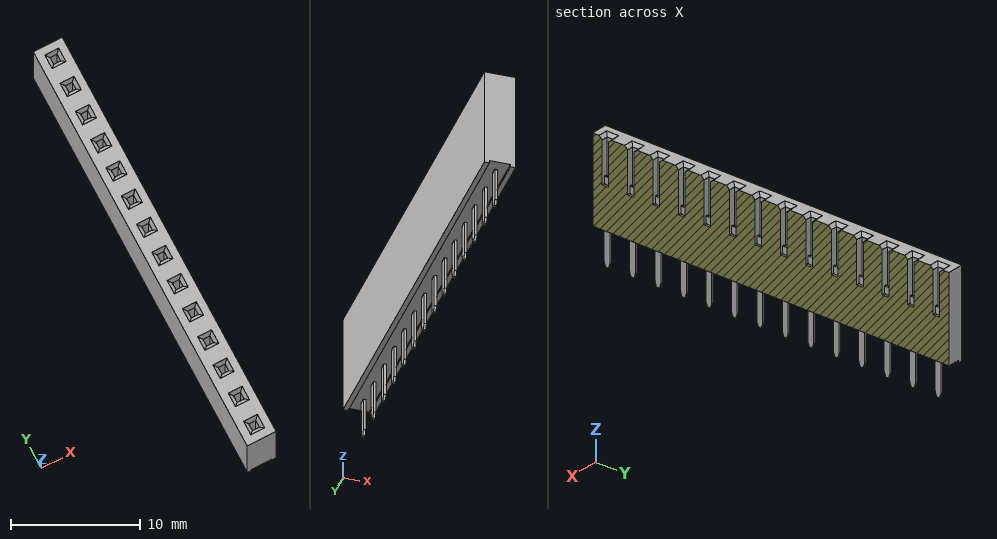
import cadquery as cq

contact_count = 14
row_length = 35.55
pitch = row_length / contact_count
housing_width = pitch
housing_height = 8.5

relief_depth = 0.2
relief_width = 1.7

mouth_size = 1.2
hole_size = 0.6
lead_in_depth = 0.302
hole_depth = 4.25

contact_thickness = 0.2
blade_width = 0.5
blade_rise = 0.7
tail_width = 0.6
tail_length = 3.1
tip_length = 0.45
tip_width = 0.3

contact_positions = [(0, (i - (contact_count - 1) / 2) * pitch) for i in range(contact_count)]


def make_housing():
    block = cq.Workplane("XY").rect(housing_width, row_length).extrude(housing_height)
    relief = cq.Workplane("XY").rect(relief_width, row_length).extrude(relief_depth)
    return block.cut(relief)


def make_socket():
    lead_in = (
        cq.Workplane("XY", origin=(0, 0, housing_height))
        .rect(mouth_size, mouth_size)
        .workplane(offset=-lead_in_depth)
        .rect(hole_size, hole_size)
        .loft(ruled=True)
    )
    hole = (
        cq.Workplane("XY", origin=(0, 0, housing_height - hole_depth))
        .rect(hole_size, hole_size)
        .extrude(hole_depth - lead_in_depth)
    )
    return lead_in.union(hole)


def make_contact():
    hole_floor = housing_height - hole_depth
    tip_start = tip_length - tail_length
    tail = (
        cq.Workplane("YZ")
        .polyline([
            (-tail_width / 2, hole_floor),
            (-tail_width / 2, tip_start),
            (-tip_width / 2, -tail_length),
            (tip_width / 2, -tail_length),
            (tail_width / 2, tip_start),
            (tail_width / 2, hole_floor),
        ])
        .close()
        .extrude(contact_thickness / 2, both=True)
    )
    blade = (
        cq.Workplane("XY", origin=(0, 0, hole_floor))
        .rect(contact_thickness, blade_width)
        .extrude(blade_rise)
    )
    return tail.union(blade)


def at_contacts(shape):
    return cq.Workplane("XY").pushPoints(contact_positions).eachpoint(lambda loc: shape.val().moved(loc))


result = make_housing().cut(at_contacts(make_socket())).union(at_contacts(make_contact()))